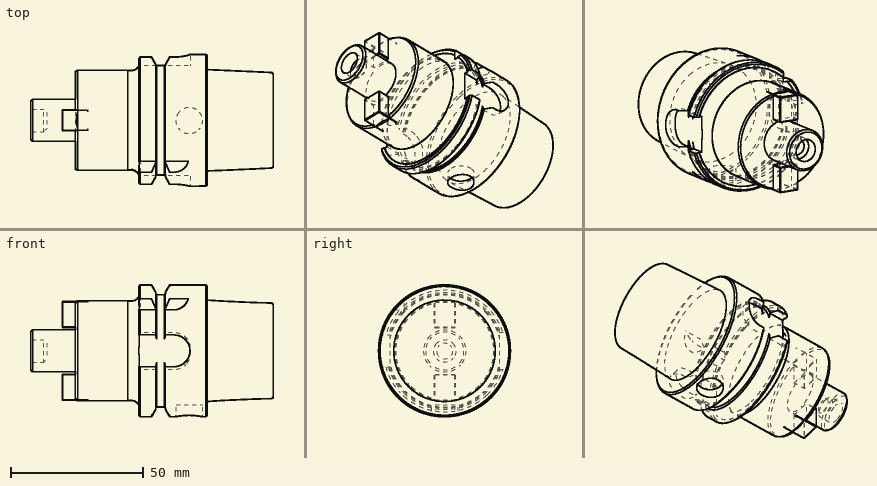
import cadquery as cq
import math


TAPER_LENGTH = 25.0
TAPER_RADIUS = 19.25
TAPER_SLOPE = 0.045
TAPER_END_ROUND = 1.0

FLANGE_RADIUS = 25.0
FLANGE_WIDTH = 26.0
FLANGE_CHAMFER = 0.6
FRONT_RECESS_RADIUS = 23.1
FRONT_RECESS_DEPTH = 0.25
GROOVE_CENTER_X = -17.75
GROOVE_BOTTOM_RADIUS = 21.3
GROOVE_BOTTOM_WIDTH = 3.6
GROOVE_FLANK_RADIUS = 22.2
GROOVE_CREST_ROUND = 0.45
GROOVE_BOTTOM_ROUND = 0.4
GROOVE_FLANK_ANGLE = 30.0

HUB_LENGTH = 50.0
HUB_RADIUS = 19.0
HUB_CHAMFER_LENGTH = 0.9
HUB_CHAMFER_DEPTH = 0.5
RELIEF_RADIUS = 18.9
RELIEF_START_X = -30.2
NECK_ROUND = 3.0

PILOT_RADIUS = 8.0
PILOT_LENGTH = 17.0
PILOT_CHAMFER = 0.8
BORE_DIAMETER = 8.5
BORE_DEPTH = 4.8
BORE_TIP_DIAMETER = 6.0
BORE_CONE_LENGTH = 1.25

KEY_WIDTH = 8.0
KEY_FRONT_X = -55.0
KEY_BACK_X = -45.3
KEY_INNER_Z = 8.8
KEY_OUTER_Z = 18.7
KEY_CHAMFER = 0.25

SLOT_FLOOR = 20.8
SLOT_END_X = -6.6
SLOT_CORNER_RADIUS = 6.0
NARROW_SLOT_WIDTH = 12.0
WIDE_SLOT_WIDTH = 14.0

NOTCH_FLOOR = 15.45
NOTCH_RUNOUT_X = -13.0
NOTCH_RUNOUT_RADIUS = 6.0

CHIP_HOLE_DIAMETER = 10.0
CHIP_HOLE_DEPTH = 4.5
CHIP_HOLE_X = -7.0

HUB_FRONT_X = -HUB_LENGTH
PILOT_FRONT_X = HUB_FRONT_X - PILOT_LENGTH
CLEARANCE = 5.0


def turned_body():
    """Solid of revolution: pilot, hub, flange with V groove, and taper."""
    flange_front = -FLANGE_WIDTH
    recess_floor = flange_front + FRONT_RECESS_DEPTH
    neck_x = recess_floor - NECK_ROUND
    neck_mid = NECK_ROUND * math.sqrt(0.5)
    half_bottom = GROOVE_BOTTOM_WIDTH / 2
    flank = (FLANGE_RADIUS - GROOVE_FLANK_RADIUS) * math.tan(math.radians(GROOVE_FLANK_ANGLE))
    half_top = half_bottom + flank
    taper_end_radius = TAPER_RADIUS - TAPER_SLOPE * TAPER_LENGTH

    profile = (
        cq.Workplane("XY")
        .moveTo(PILOT_FRONT_X, 0)
        .lineTo(PILOT_FRONT_X, PILOT_RADIUS - PILOT_CHAMFER)
        .lineTo(PILOT_FRONT_X + PILOT_CHAMFER, PILOT_RADIUS)
        .lineTo(HUB_FRONT_X, PILOT_RADIUS)
        .lineTo(HUB_FRONT_X, HUB_RADIUS - HUB_CHAMFER_DEPTH)
        .lineTo(HUB_FRONT_X + HUB_CHAMFER_LENGTH, HUB_RADIUS)
        .lineTo(RELIEF_START_X, HUB_RADIUS)
        .lineTo(RELIEF_START_X, RELIEF_RADIUS)
        .lineTo(neck_x, RELIEF_RADIUS)
        .threePointArc(
            (neck_x + neck_mid, RELIEF_RADIUS + NECK_ROUND - neck_mid),
            (recess_floor, RELIEF_RADIUS + NECK_ROUND),
        )
        .lineTo(recess_floor, FRONT_RECESS_RADIUS)
        .lineTo(flange_front, FRONT_RECESS_RADIUS)
        .lineTo(flange_front, FLANGE_RADIUS - FLANGE_CHAMFER)
        .lineTo(flange_front + FLANGE_CHAMFER, FLANGE_RADIUS)
        .lineTo(GROOVE_CENTER_X - half_top, FLANGE_RADIUS)
        .lineTo(GROOVE_CENTER_X - half_bottom, GROOVE_FLANK_RADIUS)
        .lineTo(GROOVE_CENTER_X - half_bottom, GROOVE_BOTTOM_RADIUS)
        .lineTo(GROOVE_CENTER_X + half_bottom, GROOVE_BOTTOM_RADIUS)
        .lineTo(GROOVE_CENTER_X + half_bottom, GROOVE_FLANK_RADIUS)
        .lineTo(GROOVE_CENTER_X + half_top, FLANGE_RADIUS)
        .lineTo(-FLANGE_CHAMFER, FLANGE_RADIUS)
        .lineTo(0, FLANGE_RADIUS - FLANGE_CHAMFER)
        .lineTo(0, TAPER_RADIUS)
        .lineTo(TAPER_LENGTH, taper_end_radius)
        .lineTo(TAPER_LENGTH, 0)
        .close()
    )
    body = profile.revolve(360, (0, 0, 0), (1, 0, 0))
    body = body.faces(">X").edges().fillet(TAPER_END_ROUND)
    groove = cq.selectors.BoxSelector(
        (GROOVE_CENTER_X - half_top - GROOVE_CREST_ROUND, -FLANGE_RADIUS, -FLANGE_RADIUS),
        (GROOVE_CENTER_X + half_top + GROOVE_CREST_ROUND, FLANGE_RADIUS, FLANGE_RADIUS),
    )
    crest_edges = cq.selectors.RadiusNthSelector(-1)
    bottom_edges = cq.selectors.RadiusNthSelector(0)
    body = body.edges("%CIRCLE").edges(groove).edges(crest_edges).fillet(GROOVE_CREST_ROUND)
    return body.edges("%CIRCLE").edges(groove).edges(bottom_edges).fillet(GROOVE_BOTTOM_ROUND)


def pilot_bore():
    """Blind bore in the front of the pilot, ending in a cone with a flat tip."""
    profile = (
        cq.Workplane("XY")
        .moveTo(PILOT_FRONT_X, 0)
        .lineTo(PILOT_FRONT_X, BORE_DIAMETER / 2)
        .lineTo(PILOT_FRONT_X + BORE_DEPTH, BORE_DIAMETER / 2)
        .lineTo(PILOT_FRONT_X + BORE_DEPTH + BORE_CONE_LENGTH, BORE_TIP_DIAMETER / 2)
        .lineTo(PILOT_FRONT_X + BORE_DEPTH + BORE_CONE_LENGTH, 0)
        .close()
    )
    return profile.revolve(360, (0, 0, 0), (1, 0, 0))


def drive_key(side):
    """Chamfered key on the +Z (side = 1) or -Z (side = -1) half of the front face."""
    length = KEY_BACK_X - KEY_FRONT_X
    height = KEY_OUTER_Z - KEY_INNER_Z
    center = ((KEY_FRONT_X + KEY_BACK_X) / 2, 0, side * (KEY_INNER_Z + KEY_OUTER_Z) / 2)
    key = cq.Workplane("XY").box(length, KEY_WIDTH, height).edges("<X or |X").chamfer(KEY_CHAMFER)
    return key.translate(center)


def driver_slot(side, width):
    """Cutter for a slot on the +Y (side = 1) or -Y (side = -1) flange side, open to the front."""
    start_x = -FLANGE_WIDTH - NECK_ROUND
    arc_x = SLOT_END_X - SLOT_CORNER_RADIUS
    half_width = width / 2
    half_flat = half_width - SLOT_CORNER_RADIUS
    mid = SLOT_CORNER_RADIUS * math.sqrt(0.5)
    outline = (
        cq.Workplane("XZ", origin=(0, side * SLOT_FLOOR, 0))
        .moveTo(start_x, -half_width)
        .lineTo(arc_x, -half_width)
        .threePointArc((arc_x + mid, -half_flat - mid), (SLOT_END_X, -half_flat))
    )
    if half_flat > 0:
        outline = outline.lineTo(SLOT_END_X, half_flat)
    outline = (
        outline.threePointArc((arc_x + mid, half_flat + mid), (arc_x, half_width))
        .lineTo(start_x, half_width)
        .close()
    )
    return outline.extrude(-side * (FLANGE_RADIUS + CLEARANCE - SLOT_FLOOR))


def orientation_notch():
    """Cutter for the corner notch, open to the front and running out on an arc."""
    start_x = -FLANGE_WIDTH
    reach = FLANGE_RADIUS + CLEARANCE
    runout_z = NOTCH_FLOOR + NOTCH_RUNOUT_RADIUS
    corner = NOTCH_RUNOUT_RADIUS * math.sqrt(0.5)
    return (
        cq.Workplane("XZ", origin=(0, -NOTCH_FLOOR, 0))
        .moveTo(start_x, NOTCH_FLOOR)
        .lineTo(NOTCH_RUNOUT_X, NOTCH_FLOOR)
        .threePointArc(
            (NOTCH_RUNOUT_X + corner, runout_z - corner),
            (NOTCH_RUNOUT_X + NOTCH_RUNOUT_RADIUS, runout_z),
        )
        .lineTo(NOTCH_RUNOUT_X + NOTCH_RUNOUT_RADIUS, reach)
        .lineTo(start_x, reach)
        .close()
        .extrude(reach - NOTCH_FLOOR)
    )


def chip_hole():
    """Cutter for the flat-bottomed radial hole in the -Z flange side."""
    floor = cq.Workplane("XY", origin=(CHIP_HOLE_X, 0, CHIP_HOLE_DEPTH - FLANGE_RADIUS))
    return floor.circle(CHIP_HOLE_DIAMETER / 2).extrude(-CHIP_HOLE_DEPTH - CLEARANCE)


result = turned_body().cut(pilot_bore())
for key_side in (1, -1):
    result = result.union(drive_key(key_side))
result = result.cut(driver_slot(-1, NARROW_SLOT_WIDTH))
result = result.cut(driver_slot(1, WIDE_SLOT_WIDTH))
result = result.cut(orientation_notch())
result = result.cut(chip_hole())